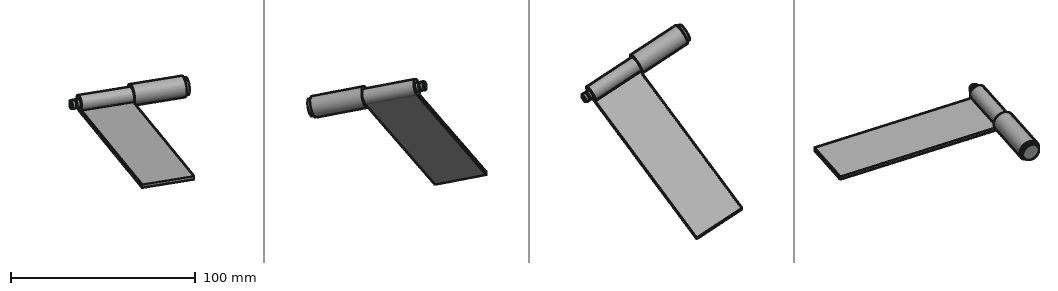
import cadquery as cq


total_length = 106.0
barrel_length = 30.0
sleeve_diameter = 12.0
pin_diameter = 5.0
knuckle_diameter = 9.2
leaf_thickness = 2.0
head_diameter = 10.0
head_height = 2.0
pin_projection = 5.0
groove_diameter = 4.1
groove_offset = 1.8
groove_width = 0.6
tip_chamfer = 0.5

sleeve_radius = sleeve_diameter / 2
pin_radius = pin_diameter / 2
knuckle_radius = knuckle_diameter / 2
leaf_end_x = total_length - sleeve_radius
pin_length = 2 * barrel_length + pin_projection
knuckle_face_y = -barrel_length
pin_tip_y = knuckle_face_y - pin_projection


def cylinder_along_y(radius, start_y, length):
    """Solid cylinder on the pin axis, running from start_y toward +Y."""
    return cq.Workplane(cq.Solid.makeCylinder(radius, length, cq.Vector(0, start_y, 0), cq.Vector(0, 1, 0)))


def make_leaf():
    """Flat leaf running tangentially out of its knuckle, bored for the pin."""
    knuckle = cylinder_along_y(knuckle_radius, knuckle_face_y, barrel_length)
    plate = cq.Workplane().box(leaf_end_x, barrel_length, leaf_thickness, centered=False)
    plate = plate.translate((0, knuckle_face_y, -knuckle_radius))
    bore = cylinder_along_y(pin_radius, knuckle_face_y, barrel_length)
    return knuckle.union(plate).cut(bore)


def make_sleeve():
    """Plain round sleeve bored for the pin."""
    bore = cylinder_along_y(pin_radius, 0, barrel_length)
    return cylinder_along_y(sleeve_radius, 0, barrel_length).cut(bore)


def make_pin():
    """Pin with a chamfered, grooved tip and a round head resting on the sleeve."""
    shank = cylinder_along_y(pin_radius, pin_tip_y, pin_length).faces("<Y").chamfer(tip_chamfer)
    groove_y = knuckle_face_y - groove_offset - groove_width
    groove_core = cylinder_along_y(groove_diameter / 2, groove_y, groove_width)
    groove = cylinder_along_y(pin_radius, groove_y, groove_width).cut(groove_core)
    head = cylinder_along_y(head_diameter / 2, barrel_length, head_height)
    return shank.cut(groove).union(head)


leaf = make_leaf()
sleeve = make_sleeve()
pin = make_pin()

result = cq.Compound.makeCompound([leaf.val(), sleeve.val(), pin.val()])